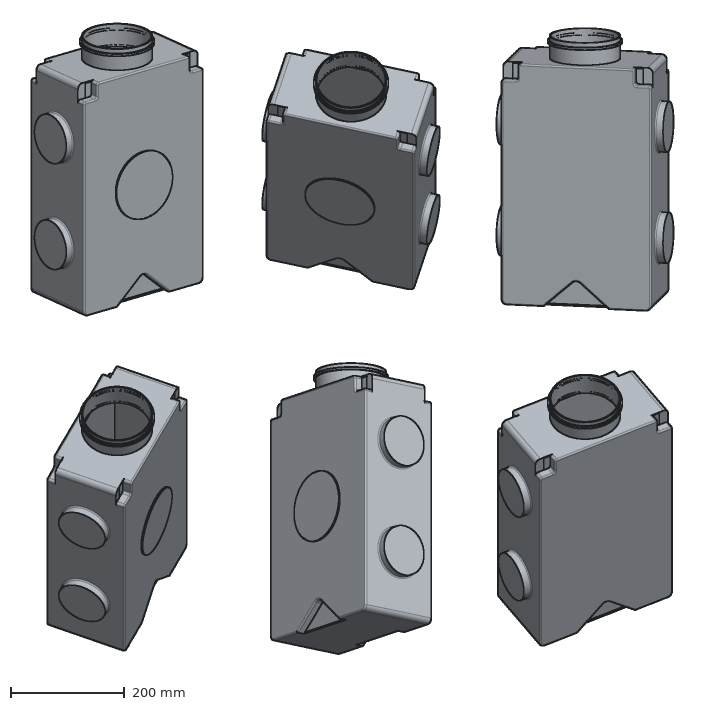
import cadquery as cq

HEIGHT = 475.0
DUCT_HEIGHT = 40.0
BODY_X = 150.0
BODY_Y = 270.0
BODY_Z = HEIGHT - DUCT_HEIGHT
BODY_MID_Z = BODY_Z / 2
CORNER_RADIUS = 10.0
FACE_EDGE_RADIUS = 3.0

RECESS_DEPTH = 16.0
NOTCH_SIZE = 30.0
NOTCH_RADIUS = 4.8
VEE_WIDTH = 118.0
VEE_RISE = 51.5
VEE_PEAK_RADIUS = 11.5

SIDE_WALL = 17.0
END_WALL = 3.0

DUCT_DIAMETER = 125.0
DUCT_WALL = 2.15
BEAD_DIAMETER = 131.5
BEAD_THICKNESS = 4.5
BEAD_TOP_OFFSET = 8.0

PORT_DIAMETER = 90.0
PORT_LENGTH = 15.0
PORT_SPACING = 200.0
PORT_BASE_RADIUS = 2.5

PAD_DIAMETER = 126.5
PAD_THICKNESS = 3.0


def core():
    """Full-outline middle of the housing, between the recessed layers."""
    width = BODY_X - 2 * RECESS_DEPTH
    slab = cq.Workplane("XY").box(width, BODY_Y, BODY_Z, centered=(True, True, False))
    return slab.edges("|X").fillet(CORNER_RADIUS)


def fillet_x_edges(solid, places, radius):
    """Round the edges that run along X through the given (y, z) places."""
    for y, z in places:
        solid = solid.edges("|X").edges(cq.selectors.NearestToPointSelector((BODY_X / 2, y, z))).fillet(radius)
    return solid


def face_layer():
    """Outer layer on the +X side, with corner notches, a bottom vee and rounded face edges."""
    half_y = BODY_Y / 2
    notch_y = half_y - NOTCH_SIZE
    notch_z = BODY_Z - NOTCH_SIZE
    half_vee = VEE_WIDTH / 2
    outline = [
        (-half_y, 0), (-half_vee, 0), (0, VEE_RISE), (half_vee, 0), (half_y, 0),
        (half_y, notch_z), (notch_y, notch_z), (notch_y, BODY_Z),
        (-notch_y, BODY_Z), (-notch_y, notch_z), (-half_y, notch_z),
    ]
    notch_corners = [(half_y, notch_z), (notch_y, notch_z), (notch_y, BODY_Z)]
    inner_x = BODY_X / 2 - RECESS_DEPTH
    layer = cq.Workplane("YZ", origin=(inner_x, 0, 0)).polyline(outline).close().extrude(RECESS_DEPTH)

    layer = fillet_x_edges(layer, [(side * y, z) for side in (-1, 1) for y, z in notch_corners], NOTCH_RADIUS)
    layer = fillet_x_edges(layer, [(0, VEE_RISE)], VEE_PEAK_RADIUS)
    layer = fillet_x_edges(layer, [(-half_y, 0), (half_y, 0)], CORNER_RADIUS)
    return layer.faces(">X").edges().fillet(FACE_EDGE_RADIUS)


def port(side, z):
    """Capped round port on one Y face; side is +1 or -1."""
    radius = PORT_DIAMETER / 2
    flare = PORT_BASE_RADIUS
    profile = (
        cq.Workplane("XY")
        .lineTo(radius + flare, 0)
        .radiusArc((radius, flare), flare)
        .lineTo(radius, PORT_LENGTH)
        .lineTo(0, PORT_LENGTH)
        .close()
    )
    solid = profile.revolve(360, (0, 0), (0, 1)).translate((0, BODY_Y / 2, z))
    return solid if side > 0 else solid.mirror("XZ")


def disc(diameter, z_low, z_high):
    """Vertical cylinder on the duct axis."""
    return cq.Workplane("XY", origin=(0, 0, z_low)).circle(diameter / 2).extrude(z_high - z_low)


layer = face_layer()
body = core().union(layer).union(layer.mirror("YZ"))

for side in (-1, 1):
    for step in (-1, 1):
        body = body.union(port(side, BODY_MID_Z + step * PORT_SPACING / 2))

pad = cq.Workplane("YZ", origin=(BODY_X / 2, 0, BODY_MID_Z)).circle(PAD_DIAMETER / 2).extrude(PAD_THICKNESS)
body = body.union(pad)

bead_top = HEIGHT - BEAD_TOP_OFFSET
body = body.union(disc(DUCT_DIAMETER, BODY_Z, HEIGHT))
body = body.union(disc(BEAD_DIAMETER, bead_top - BEAD_THICKNESS, bead_top))

ceiling_z = BODY_Z - END_WALL
cavity = cq.Workplane("XY", origin=(0, 0, BODY_MID_Z)).box(
    BODY_X - 2 * SIDE_WALL,
    BODY_Y - 2 * SIDE_WALL,
    BODY_Z - 2 * END_WALL,
)
body = body.cut(cavity)
result = body.cut(disc(DUCT_DIAMETER - 2 * DUCT_WALL, ceiling_z, HEIGHT))